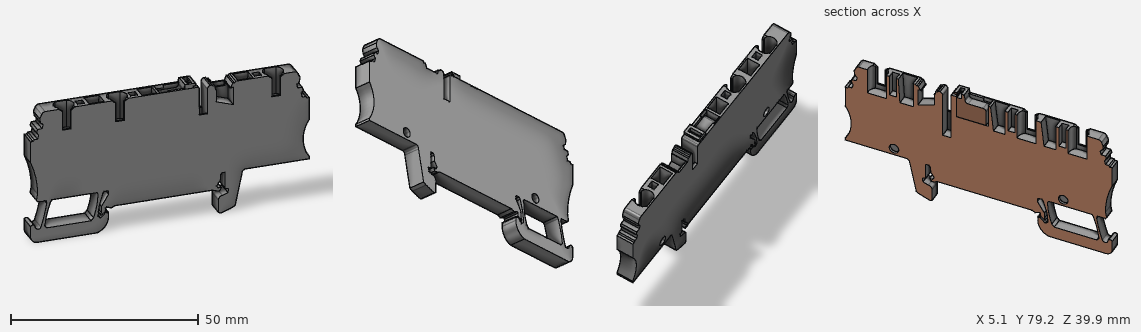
import cadquery as cq


LENGTH = 79.2
THICKNESS = 5.1
HALF_LENGTH = LENGTH / 2
HALF_THICKNESS = THICKNESS / 2
TOP_Z = 38.5
OVERALL_HEIGHT = 39.85
BODY_BOTTOM_Z = 12.0
RAIL_FACE_Z = 7.2

TOP_CORNER_INSET = 4.1
TOP_CORNER_MID = (3.6, 38.3)
PLUS_END_RECESS_DEPTH = 1.75
PLUS_END_RECESS_Z = (23.7, 18.2, 12.7)
MINUS_END_RECESS_TOP_Z = 23.9
FOOT_CORNER_RADIUS = 2.0

MARKER_TOP_Y = (18.7, 11.9)
MARKER_SHOULDER_Y = (18.3, 12.3)
MARKER_SHOULDER_WIDTH = 0.5
MARKER_FLOOR_Y = (17.3, 13.1)
MARKER_FLOOR_Z = 36.85
MARKER_SHOULDER_Z = 38.1
SLOT_LOBE_Z = 37.55
SLOT_Y = (10.6, 8.3)
SLOT_FLOOR_Z = 30.2
SLOT_EDGE_RADIUS = 0.5

MARKER_CAVITY_X = -1.5
MARKER_CAVITY_Y = (13.2, 18.0)
MARKER_CAVITY_TOP_Z = 36.8
MARKER_LEDGE_X = -2.05
MARKER_LEDGE_Y = (13.2, 17.0)
MARKER_LEDGE_Z = 35.65
MARKER_CAVITY_FLOOR_Z = (33.3, 31.7)

SLOT_CAVITY_X = (-1.6, 2.05)
SLOT_CAVITY_DEPTH = 6.3

SCREW_Y = (30.2, -14.2, -29.3)
SCREW_LENGTH = 5.6
SCREW_FLAT_LENGTH = 3.25
SCREW_FLAT_WIDTH = 4.1
SCREW_DEPTH = 7.9
SCREW_OPENING_DEPTH = 6.3
SCREW_OPENING_WIDTH = 2.4
SCREW_FLARE_WIDTH = 4.6
SCREW_FLARE_DEPTH = 0.8

TEST_Y = (25.4, -9.75, -24.8)
TEST_X = 0.3
TEST_SIDE = 2.0
TEST_DEPTH = 6.3

WIRE_ENTRIES = ((23.8, 4.35, 0.5), (-3.6, 4.2, 0.9), (-18.55, 4.3, 0.9))
WIRE_X = (-1.8, 2.05)
WIRE_DEPTH = 7.9

PIN_HOLE_Y = (25.1, -25.0)
PIN_HOLE_Z = 14.1
PIN_HOLE_DIAMETER = 2.7
PIN_HOLE_DEPTH = 2.5

LEVER_X = (-1.8, 1.8)
LEVER_BACK_Y = 6.6
LEVER_FRONT_Y = -2.2
LEVER_BOTTOM_Z = 31.7
LEVER_TOP_Z = 37.2
LEVER_RADIUS = 0.9
POCKET_FRONT_Y = -2.85
NOTCH_BACK_Y = -0.2
NOTCH_HALF_WIDTH = 2.3
NOTCH_DEPTH = 0.8
HEAD_BACK_Y = 7.5
HEAD_FRONT_Y = 4.3
HEAD_FOOT_Y = 4.0
HEAD_CHAMFER = 0.3
HEAD_SLOT_X = (-1.8, 1.75)
HEAD_SLOT_Y = (5.15, 6.4)
HEAD_SLOT_DEPTH = 1.6


def box(x_range, y_range, z_range):
    """Box between the given limits."""
    (x0, x1), (y0, y1), (z0, z1) = x_range, y_range, z_range
    return cq.Workplane("XY").box(x1 - x0, y1 - y0, z1 - z0, centered=False).translate((x0, y0, z0))


def side_prism(points, x_range):
    """Prism of a closed (Y, Z) outline between two X planes."""
    x0, x1 = x_range
    return cq.Workplane("YZ", origin=(x0, 0, 0)).polyline(points).close().extrude(x1 - x0)


def grip_points(side):
    """Toothed upper corner of one end, from the top edge down; side is +1 for +Y and -1 for -Y."""
    inset_and_z = [
        (3.2, 37.8), (2.6, 36.6), (2.85, 35.25), (3.6, 34.6), (3.25, 33.6), (2.0, 33.5), (1.7, 32.6),
        (2.3, 31.8), (2.0, 30.7), (1.0, 30.7), (0.7, 30.2), (0, 30.2),
    ]
    return [(side * (HALF_LENGTH - inset), z) for inset, z in inset_and_z]


def housing_plate():
    """Side outline of the housing, without the enclosed window, extruded over the full thickness."""
    top_corner_y = HALF_LENGTH - TOP_CORNER_INSET
    corner_mid_inset, corner_mid_z = TOP_CORNER_MID
    corner_mid_y = HALF_LENGTH - corner_mid_inset
    recess_top, recess_mid, recess_bottom = PLUS_END_RECESS_Z
    foot_corner_inset = FOOT_CORNER_RADIUS * (1 - 0.5**0.5)
    sprung_foot = [
        (20.5, 10.9), (18.55, 1.7), (17.6, 1.1), (14.4, 0), (13.8, 0.3), (13.8, 4.05),
    ]
    sprung_latch = [
        (16.5, 5.8), (16.6, 6.9), (15.7, 7.2), (15.7, BODY_BOTTOM_Z), (14.8, BODY_BOTTOM_Z), (14.4, 11.4),
        (14.3, 9.75), (13.2, 8.25), (13.6, 7.7), (14.6, 7.7), (14.2, 6.7), (13.3, 6.7), (12.3, RAIL_FACE_Z),
    ]
    rail_hook = [
        (-15.7, RAIL_FACE_Z), (-16.7, 6.7), (-17.9, RAIL_FACE_Z), (-18.3, 6.9), (-18.3, 6.0), (-19.6, 5.0),
        (-19.8, 5.5), (-19.5, 5.9), (-19.5, 7.7), (-17.4, 10.9), (-17.4, 11.7), (-17.75, BODY_BOTTOM_Z),
        (-18.7, BODY_BOTTOM_Z), (-19.1, 11.4), (-20.2, 7.7), (-20.45, 4.8), (-19.7, 4.3), (-18.2, 5.7),
        (-17.75, 5.5), (-17.4, 5.55), (-17.4, 4.35),
    ]
    hooked_foot = [
        (-38.75, 5.3), (-38.35, 5.0), (-38.1, 4.3),
    ]
    end_wall = [
        (-35.2, BODY_BOTTOM_Z), (-37.55, BODY_BOTTOM_Z), (-37.95, 12.5), (-37.6, 14.35),
    ]
    marker_back, marker_front = MARKER_TOP_Y
    shoulder_back, shoulder_front = MARKER_SHOULDER_Y
    floor_back, floor_front = MARKER_FLOOR_Y
    slot_back, slot_front = SLOT_Y
    edge_inset = SLOT_EDGE_RADIUS * (1 - 0.5**0.5)
    top_edge = [
        (slot_front, SLOT_FLOOR_Z), (slot_back, SLOT_FLOOR_Z), (slot_back, SLOT_LOBE_Z),
    ]
    marker_edge = [
        (marker_front, TOP_Z), (shoulder_front, MARKER_SHOULDER_Z),
        (shoulder_front + MARKER_SHOULDER_WIDTH, MARKER_SHOULDER_Z), (floor_front, MARKER_FLOOR_Z),
        (floor_back, MARKER_FLOOR_Z), (shoulder_back - MARKER_SHOULDER_WIDTH, MARKER_SHOULDER_Z),
        (shoulder_back, MARKER_SHOULDER_Z), (marker_back, TOP_Z),
    ]

    def along(outline, points):
        for point in points:
            outline = outline.lineTo(*point)
        return outline

    outline = cq.Workplane("YZ", origin=(-HALF_THICKNESS, 0, 0)).moveTo(top_corner_y, TOP_Z)
    plus_grip = grip_points(1)
    outline = outline.threePointArc((corner_mid_y, corner_mid_z), plus_grip[0])
    outline = along(outline, plus_grip[1:] + [(HALF_LENGTH, recess_top)])
    outline = outline.threePointArc(
        (HALF_LENGTH - PLUS_END_RECESS_DEPTH, recess_mid), (HALF_LENGTH, recess_bottom)
    )
    outline = along(outline, [(HALF_LENGTH, BODY_BOTTOM_Z), (21.4, BODY_BOTTOM_Z)])
    outline = outline.threePointArc((20.75, 11.65), sprung_foot[0])
    outline = along(outline, sprung_foot[1:])
    outline = outline.threePointArc((14.1, 4.8), (14.9, 5.2))
    outline = along(outline, sprung_latch)
    outline = along(outline, rail_hook)
    outline = outline.threePointArc((-18.5, 1.5), (-20.75, 0))
    outline = outline.lineTo(FOOT_CORNER_RADIUS - HALF_LENGTH, 0)
    outline = outline.threePointArc(
        (foot_corner_inset - HALF_LENGTH, foot_corner_inset), (-HALF_LENGTH, FOOT_CORNER_RADIUS)
    )
    outline = outline.lineTo(-HALF_LENGTH, 5.0)
    outline = outline.threePointArc((-39.3, 5.3), hooked_foot[0])
    outline = along(outline, hooked_foot[1:])
    outline = outline.threePointArc((-37.4, 3.9), (-36.7, 4.35))
    outline = outline.threePointArc((-35.7, 7.7), (-35.0, 11.25))
    outline = along(outline, end_wall)
    outline = outline.threePointArc((-38.1, 19.25), (-HALF_LENGTH, MINUS_END_RECESS_TOP_Z))
    minus_grip = grip_points(-1)[::-1]
    outline = along(outline, minus_grip)
    outline = outline.threePointArc((-corner_mid_y, corner_mid_z), (-top_corner_y, TOP_Z))
    outline = outline.lineTo(slot_front - SLOT_EDGE_RADIUS, TOP_Z)
    outline = outline.threePointArc(
        (slot_front - edge_inset, TOP_Z - edge_inset), (slot_front, TOP_Z - SLOT_EDGE_RADIUS)
    )
    outline = along(outline, top_edge)
    outline = outline.threePointArc((11.1, 38.35), (11.4, TOP_Z))
    outline = along(outline, marker_edge)
    return outline.close().extrude(THICKNESS)


def foot_window():
    """Window between the two spring legs of the -Y foot."""
    return (
        cq.Workplane("YZ", origin=(-HALF_THICKNESS, 0, 0))
        .moveTo(-20.75, BODY_BOTTOM_Z)
        .lineTo(-20.45, 11.6)
        .threePointArc((-20.75, 8.3), (-21.7, 4.7))
        .lineTo(-22.4, 3.9)
        .lineTo(-35.0, 3.9)
        .lineTo(-35.6, 4.5)
        .threePointArc((-34.95, 8.0), (-33.9, 11.4))
        .lineTo(-33.5, BODY_BOTTOM_Z)
        .close()
        .extrude(THICKNESS)
    )


def pin_holes():
    """Round blind holes in the -X face."""
    return (
        cq.Workplane("YZ", origin=(-HALF_THICKNESS, 0, 0))
        .pushPoints([(y, PIN_HOLE_Z) for y in PIN_HOLE_Y])
        .circle(PIN_HOLE_DIAMETER / 2)
        .extrude(PIN_HOLE_DEPTH)
    )


def marker_cavity():
    """Cavity behind the marker recess, open at the top and on +X."""
    front, back = MARKER_CAVITY_Y
    front_z, back_z = MARKER_CAVITY_FLOOR_Z
    points = [(front, front_z), (back, back_z), (back, MARKER_CAVITY_TOP_Z), (front, MARKER_CAVITY_TOP_Z)]
    cavity = side_prism(points, (MARKER_CAVITY_X, HALF_THICKNESS))
    return cavity.union(box((MARKER_LEDGE_X, HALF_THICKNESS), MARKER_LEDGE_Y, (MARKER_LEDGE_Z, TOP_Z)))


def slot_cavity():
    """Cavity below the floor of the cross slot."""
    back, front = SLOT_Y
    return box(SLOT_CAVITY_X, (front, back), (SLOT_FLOOR_Z - SLOT_CAVITY_DEPTH, SLOT_FLOOR_Z))


def screw_hole(y):
    """Hole with flat sides and arched ends, opening into the +X face."""
    half_x = SCREW_FLAT_WIDTH / 2
    half_flat = SCREW_FLAT_LENGTH / 2
    half_y = SCREW_LENGTH / 2
    bore = (
        cq.Workplane("XY", origin=(0, y, TOP_Z - SCREW_DEPTH))
        .moveTo(-half_x, -half_flat)
        .threePointArc((0, -half_y), (half_x, -half_flat))
        .lineTo(half_x, half_flat)
        .threePointArc((0, half_y), (-half_x, half_flat))
        .close()
        .extrude(SCREW_DEPTH)
    )
    half_opening = SCREW_OPENING_WIDTH / 2
    half_flare = SCREW_FLARE_WIDTH / 2
    opening_z = TOP_Z - SCREW_OPENING_DEPTH
    flare_z = TOP_Z - SCREW_FLARE_DEPTH
    opening_points = [
        (y - half_flare, TOP_Z), (y - half_opening, flare_z), (y - half_opening, opening_z),
        (y + half_opening, opening_z), (y + half_opening, flare_z), (y + half_flare, TOP_Z),
    ]
    return bore.union(side_prism(opening_points, (0, HALF_THICKNESS)))


def test_hole(y):
    """Square blind hole beside a screw hole."""
    half = TEST_SIDE / 2
    return box((TEST_X - half, TEST_X + half), (y - half, y + half), (TOP_Z - TEST_DEPTH, TOP_Z))


def wire_entry(back, length, wall_run):
    """Rectangular pocket whose +Y wall slopes inward with depth."""
    front = back - length
    floor_z = TOP_Z - WIRE_DEPTH
    return side_prism([(front, floor_z), (back - wall_run, floor_z), (back, TOP_Z), (front, TOP_Z)], WIRE_X)


def lever_pocket():
    """Pocket that holds the lever, with sloping finger notches at its -Y end."""
    pocket = box(LEVER_X, (POCKET_FRONT_Y, LEVER_BACK_Y), (LEVER_BOTTOM_Z, TOP_Z))
    left, right = LEVER_X
    notch_points = [
        (-NOTCH_HALF_WIDTH, TOP_Z), (left, TOP_Z - NOTCH_DEPTH), (right, TOP_Z - NOTCH_DEPTH),
        (NOTCH_HALF_WIDTH, TOP_Z),
    ]
    notches = (
        cq.Workplane("XZ", origin=(0, NOTCH_BACK_Y, 0))
        .polyline(notch_points)
        .close()
        .extrude(NOTCH_BACK_Y - POCKET_FRONT_Y)
    )
    return pocket.union(notches)


def make_housing():
    housing = housing_plate().cut(foot_window()).cut(pin_holes())
    housing = housing.cut(marker_cavity()).cut(slot_cavity()).cut(lever_pocket())
    for y in SCREW_Y:
        housing = housing.cut(screw_hole(y))
    for y in TEST_Y:
        housing = housing.cut(test_hole(y))
    for back, length, wall_run in WIRE_ENTRIES:
        housing = housing.cut(wire_entry(back, length, wall_run))
    return housing


def make_lever():
    """Lever blade in the pocket, with a hooked head on top of the housing."""
    round_off = LEVER_RADIUS * (1 - 0.5**0.5)
    blade = (
        cq.Workplane("YZ", origin=(LEVER_X[0], 0, 0))
        .moveTo(LEVER_BACK_Y, LEVER_BOTTOM_Z)
        .lineTo(LEVER_BACK_Y, TOP_Z)
        .lineTo(HEAD_FOOT_Y, TOP_Z)
        .lineTo(HEAD_FOOT_Y, LEVER_TOP_Z + LEVER_RADIUS)
        .threePointArc(
            (HEAD_FOOT_Y - round_off, LEVER_TOP_Z + round_off), (HEAD_FOOT_Y - LEVER_RADIUS, LEVER_TOP_Z)
        )
        .lineTo(LEVER_FRONT_Y + LEVER_RADIUS, LEVER_TOP_Z)
        .threePointArc(
            (LEVER_FRONT_Y + round_off, LEVER_TOP_Z - round_off), (LEVER_FRONT_Y, LEVER_TOP_Z - LEVER_RADIUS)
        )
        .lineTo(LEVER_FRONT_Y, LEVER_BOTTOM_Z)
        .close()
        .extrude(LEVER_X[1] - LEVER_X[0])
    )
    head_x = (-HALF_THICKNESS, HALF_THICKNESS)
    head_points = [
        (LEVER_BACK_Y, TOP_Z), (6.65, 39.0), (7.2, 39.1), (HEAD_BACK_Y, 39.45), (7.3, OVERALL_HEIGHT),
        (HEAD_FRONT_Y, OVERALL_HEIGHT), (HEAD_FOOT_Y, TOP_Z),
    ]
    head = side_prism(head_points, head_x)
    head_plan = box(head_x, (HEAD_FOOT_Y, HEAD_BACK_Y), (TOP_Z, OVERALL_HEIGHT))
    head = head.intersect(head_plan.edges("|Z").chamfer(HEAD_CHAMFER))
    head = head.faces(">Z").edges("<X").chamfer(HEAD_CHAMFER)
    head_slot = box(HEAD_SLOT_X, HEAD_SLOT_Y, (OVERALL_HEIGHT - HEAD_SLOT_DEPTH, OVERALL_HEIGHT))
    return blade.union(head).cut(head_slot)


housing = make_housing().solids()
lever = make_lever().solids()
result = cq.Compound.makeCompound([housing.val(), lever.val()])